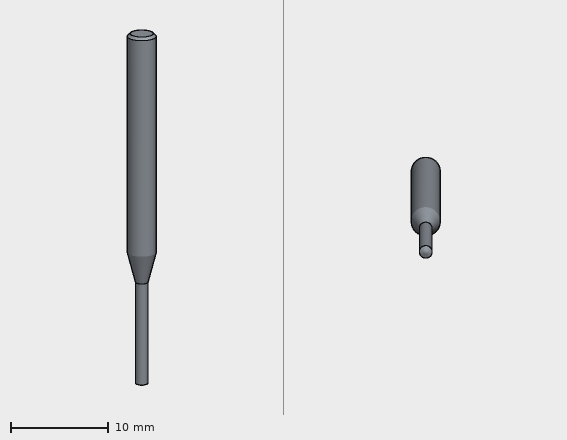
import cadquery as cq

total_length = 38.0
shank_diameter = 3.0
shank_chamfer = 0.3
cutter_diameter = 1.33
point_height = 0.25
cutter_length = 11.17
taper_length = 3.2

shank_radius = shank_diameter / 2
cutter_radius = cutter_diameter / 2
taper_top = cutter_length + taper_length


def revolve_about_z(profile):
    """Turn a closed radius-height profile into a round body."""
    return profile.revolve(360, (0, 0, 0), (0, 1, 0))


def make_shank():
    """Cylindrical shank, chamfered at the top and tapering to the cutter diameter."""
    profile = (
        cq.Workplane("XZ")
        .moveTo(0, cutter_length)
        .lineTo(cutter_radius, cutter_length)
        .lineTo(shank_radius, taper_top)
        .lineTo(shank_radius, total_length - shank_chamfer)
        .lineTo(shank_radius - shank_chamfer, total_length)
        .lineTo(0, total_length)
        .close()
    )
    return revolve_about_z(profile)


def make_cutter():
    """Slim cylindrical cutter with a conical point, butted against the taper."""
    profile = (
        cq.Workplane("XZ")
        .lineTo(cutter_radius, point_height)
        .lineTo(cutter_radius, cutter_length)
        .lineTo(0, cutter_length)
        .close()
    )
    return revolve_about_z(profile)


shank = make_shank()
cutter = make_cutter()

result = cq.Compound.makeCompound([shank.val(), cutter.val()])